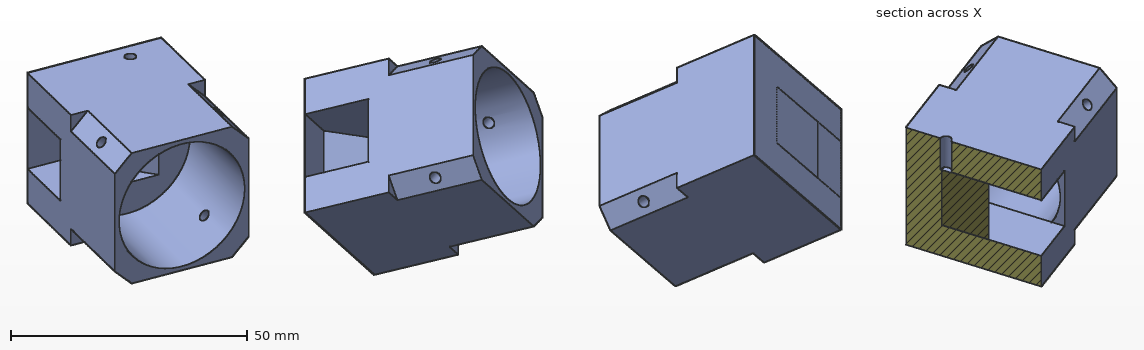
import cadquery as cq

length = 40.2
side = 32.0
cover_thickness = 0.2
half_side = side / 2
block_length = length - cover_thickness

chamber_size = 15.0
chamber_back_y = chamber_size / 2

bore_diameter = 30.0

chamfer = 4.0
chamfer_start = length / 2
screw_x = 0.75 * length
screw_diameter = 2.5

top_hole_x = 4.1
top_hole_y = 6.5
top_hole_diameter = 2.5


def make_block():
    """Square block with its -X face against the cover."""
    return cq.Workplane("YZ", origin=(cover_thickness, 0, 0)).rect(side, side).extrude(block_length)


def make_corner_cut():
    """Chamfers along the four long edges of the +X half."""
    cut_length = length - chamfer_start
    square = cq.Workplane("YZ", origin=(chamfer_start, 0, 0)).rect(side, side).extrude(cut_length)
    return square.cut(square.edges("|X").chamfer(chamfer))


def make_chamber():
    """Square chamber that runs inward from the -Y face."""
    return cq.Workplane("XY").box(
        chamber_size, half_side + chamber_back_y, chamber_size, centered=(False, False, True)
    ).translate((cover_thickness, -half_side, 0))


def make_bore():
    """Bore along X, open at the +X end."""
    start = cover_thickness + chamber_size
    return cq.Workplane("YZ", origin=(start, 0, 0)).circle(bore_diameter / 2).extrude(length - start)


def make_screw_hole(angle):
    """Radial hole from the bore axis out through one chamfer."""
    hole = cq.Workplane("XY", origin=(screw_x, 0, 0)).circle(screw_diameter / 2).extrude(side)
    return hole.rotate((0, 0, 0), (1, 0, 0), angle)


def make_top_hole():
    """Vertical hole from the chamber ceiling level to the top face."""
    ceiling = chamber_size / 2
    start = cq.Workplane("XY", origin=(top_hole_x, top_hole_y, ceiling))
    return start.circle(top_hole_diameter / 2).extrude(half_side - ceiling)


def make_housing():
    housing = make_block().cut(make_corner_cut()).cut(make_chamber()).cut(make_bore())
    for angle in (45, 135, 225, 315):
        housing = housing.cut(make_screw_hole(angle))
    return housing.cut(make_top_hole())


def make_cover():
    """Thin square plate that closes the -X end."""
    return cq.Workplane("YZ").rect(side, side).extrude(cover_thickness)


def make_mirror_prism():
    """Right-angle prism whose 45 degree face turns the bore axis toward the -Y window."""
    near_x = cover_thickness
    far_x = cover_thickness + chamber_size
    front_y = chamber_back_y - chamber_size
    corners = [(near_x, front_y), (far_x, chamber_back_y), (near_x, chamber_back_y)]
    base = cq.Workplane("XY", origin=(0, 0, -chamber_size / 2))
    return base.polyline(corners).close().extrude(chamber_size)


housing = make_housing()
cover = make_cover()
mirror_prism = make_mirror_prism()

result = cq.Compound.makeCompound([housing.val(), cover.val(), mirror_prism.val()])